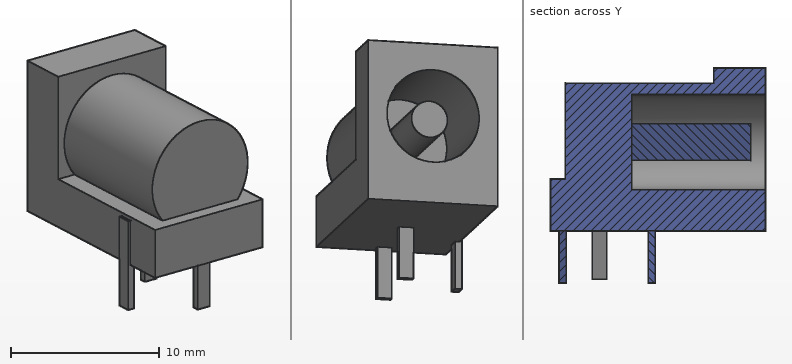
import cadquery as cq

width = 9.0
length = 14.5
block_length = 3.51
block_top = 10.99
base_height = 3.51
barrel_diameter = 8.0
barrel_end = 13.5
barrel_height = 5.99

bore_diameter = 6.4
bore_depth = 9.0
contact_diameter = 2.5
contact_recess = 1.0

lead_thickness = 0.5
lead_width = 1.0
lead_drop = 3.51
middle_lead_x = 7.67
rear_lead_x = 13.67
side_lead_x = 11.2
side_lead_half_height = 3.25
side_lead_protrusion = 0.19


def rod(diameter, start, end):
    """Cylinder on the barrel axis, from X = start to X = end."""
    plane = cq.Plane(origin=(start, 0, barrel_height), xDir=(0, 1, 0), normal=(1, 0, 0))
    return cq.Workplane(plane).circle(diameter / 2).extrude(end - start)


def make_side_lead():
    """Flat lead standing half in the base, proud of its -Y side."""
    lead_y = -width / 2 - side_lead_protrusion + lead_thickness / 2
    lead = cq.Workplane("XY").box(lead_width, lead_thickness, 2 * side_lead_half_height)
    return lead.translate((side_lead_x, lead_y, 0))


def make_bottom_lead(lead_x):
    """Flat lead hanging from the underside of the base."""
    lead = cq.Workplane("XY").box(lead_thickness, lead_width, lead_drop, centered=(True, True, False))
    return lead.translate((lead_x, 0, -lead_drop))


def make_housing(side_lead):
    """Block, base and barrel in one, with the socket bore and the side lead's recess."""
    block = cq.Workplane("XY").box(block_length, width, block_top, centered=(False, True, False))
    base = cq.Workplane("XY").box(length, width, base_height, centered=(False, True, False))
    barrel = rod(barrel_diameter, 0, barrel_end)
    bore = rod(bore_diameter, 0, bore_depth)
    return block.union(base).union(barrel).cut(bore).cut(side_lead)


side_lead = make_side_lead()
housing = make_housing(side_lead)
contact_pin = rod(contact_diameter, contact_recess, bore_depth)
bottom_leads = [make_bottom_lead(lead_x) for lead_x in (middle_lead_x, rear_lead_x)]

result = cq.Compound.makeCompound([
    housing.val(),
    contact_pin.val(),
    side_lead.val(),
    *[lead.val() for lead in bottom_leads],
])